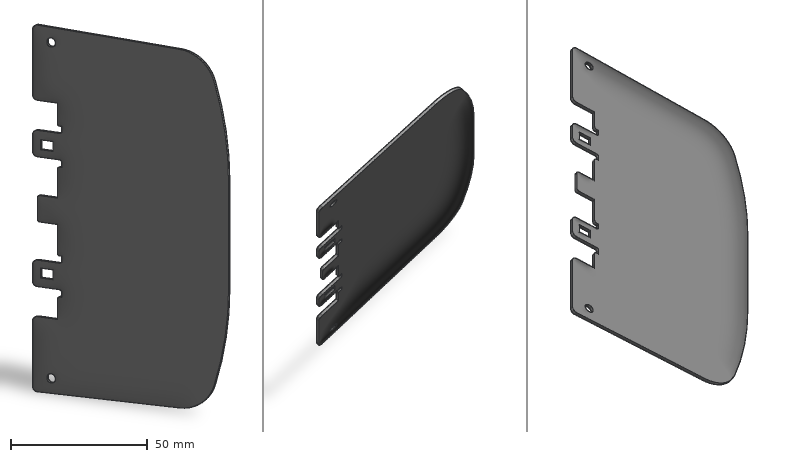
import cadquery as cq
import math

height = 139.9
width = 79.7
thickness = 1.2
overlap = 1.4

edge_taper = math.radians(1.5)
bow_radius = 125.0
straight_half = 20.0
outer_corner_z = 68.1
outer_corner_radius = 15.0
edge_radius = 2.0

recess_half = 41.3
recess_depth = 10.1
middle_tab_size = 10.1
middle_tab_setback = 2.0
middle_tab_radius = 1.0
tab_z = 24.8
tab_size = 10.1
tab_radius = 2.0
relief_depth = 11.9
relief_width = 2.8
relief_radius = 1.0
window_z = 24.5
window_start = 3.2
window_length = 5.0
window_height = 3.8

hole_x = 7.5
hole_z = 64.0
hole_diameter = 3.5


def block(x_start, x_end, z_center, z_size):
    """Rectangular block through the sheet thickness."""
    return (
        cq.Workplane("XY")
        .box(x_end - x_start, thickness, z_size)
        .translate(((x_start + x_end) / 2, 0, z_center))
    )


def round_corners(body, points, radius):
    """Fillet the through-thickness edges standing at the given (x, z) points."""
    reach = 0.07
    for x, z in points:
        selector = cq.selectors.BoxSelector(
            (x - reach, -thickness, z - reach), (x + reach, thickness, z + reach)
        )
        body = body.edges("|Y").edges(selector).fillet(radius)
    return body


def bow_x(z):
    """X of the bowed outer edge, whose arcs are tangent to the straight middle."""
    return width - bow_radius + math.sqrt(bow_radius**2 - (abs(z) - straight_half) ** 2)


def make_plate():
    crest_drop = edge_radius * (math.tan(edge_taper) + 1 / math.cos(edge_taper) - 1)
    inner_z = height / 2 + crest_drop
    outer_x = bow_x(outer_corner_z)
    mid_z = (straight_half + outer_corner_z) / 2
    plate = (
        cq.Workplane("XZ", origin=(0, thickness / 2, 0))
        .moveTo(0, -inner_z)
        .lineTo(outer_x, -outer_corner_z)
        .threePointArc((bow_x(mid_z), -mid_z), (width, -straight_half))
        .lineTo(width, straight_half)
        .threePointArc((bow_x(mid_z), mid_z), (outer_x, outer_corner_z))
        .lineTo(0, inner_z)
        .close()
        .extrude(thickness)
    )
    plate = round_corners(plate, [(0, -inner_z), (0, inner_z)], edge_radius)
    outer_corners = [(outer_x, -outer_corner_z), (outer_x, outer_corner_z)]
    return round_corners(plate, outer_corners, outer_corner_radius)


def cut_recess(plate):
    plate = plate.cut(block(-overlap, recess_depth, 0, 2 * recess_half))
    return round_corners(plate, [(0, -recess_half), (0, recess_half)], edge_radius)


def add_middle_tab(plate):
    tab = block(middle_tab_setback, recess_depth + overlap, 0, middle_tab_size)
    corners = [(middle_tab_setback, side * middle_tab_size / 2) for side in (-1, 1)]
    return plate.union(round_corners(tab, corners, middle_tab_radius))


def add_windowed_tab(plate, center_z):
    relief_half = tab_size / 2 + relief_width
    plate = plate.cut(block(0, relief_depth, center_z, 2 * relief_half))
    tab = block(0, relief_depth + overlap, center_z, tab_size)
    corners = [(0, center_z + side * tab_size / 2) for side in (-1, 1)]
    plate = plate.union(round_corners(tab, corners, tab_radius))
    lips = [(recess_depth, center_z + side * relief_half) for side in (-1, 1)]
    roots = [(relief_depth, center_z + side * tab_size / 2) for side in (-1, 1)]
    return round_corners(plate, lips + roots, relief_radius)


def cut_window(plate, center_z):
    return plate.cut(block(window_start, window_start + window_length, center_z, window_height))


def drill_hole(plate, center_z):
    drill = (
        cq.Workplane("XZ", origin=(hole_x, 0, center_z))
        .circle(hole_diameter / 2)
        .extrude(thickness / 2 + overlap, both=True)
    )
    return plate.cut(drill)


result = add_middle_tab(cut_recess(make_plate()))
for side in (-1, 1):
    result = add_windowed_tab(result, side * tab_z)
    result = cut_window(result, side * window_z)
    result = drill_hole(result, side * hole_z)